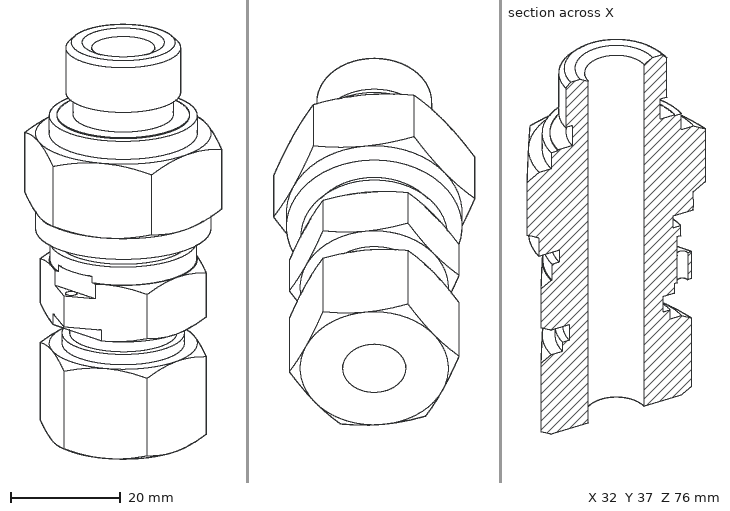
import cadquery as cq
import math

nut_top = 17.5
ring_top = 19.5
lower_neck_top = 22.8
body_hex_top = 33.8
collar_top = 37.3
upper_neck_top = 39.8
flange_top = 43.8
coupling_hex_top = 58.3
shoulder_top = 61.8
seal_top = 62.0
relief_top = 66.3
overall_height = 76.0

small_hex_flats = 27.0
large_hex_flats = 32.0
hex_chamfer_angle = 30.0

ring_diameter = 22.3
lower_neck_diameter = 19.5
collar_diameter = 26.7
upper_neck_diameter = 23.7
flange_diameter = large_hex_flats
shoulder_diameter = small_hex_flats
seal_diameter = 24.2
relief_diameter = 18.3
thread_diameter = 20.955
thread_chamfer = 1.0

bore_diameter = 11.5
countersink_diameter = 15.0
countersink_depth = 1.0

tab_bottom = 24.9
tab_top = 30.9
upper_notch_top = 35.0
upper_notch_y = -12.65
lower_notch_y = -12.06
tab_hole_diameter = 2.1
tab_hole_y = -13.7


def cylinder(diameter, bottom, top):
    """Round section about the Z axis."""
    return cq.Workplane("XY").workplane(offset=bottom).circle(diameter / 2).extrude(top - bottom)


def corner_radius(flats):
    """Distance from the axis to a corner of a hexagon of the given width across flats."""
    return flats / 2 / math.cos(math.radians(30))


def chamfered_hexagon(flats, bottom, top):
    """Hexagonal prism with corners on +Y and -Y, its corners turned off conically at both ends."""
    flat_radius = flats / 2
    outer_radius = corner_radius(flats)
    drop = (outer_radius - flat_radius) * math.tan(math.radians(hex_chamfer_angle))
    prism = (
        cq.Workplane("XY")
        .workplane(offset=bottom)
        .transformed(rotate=(0, 0, 90))
        .polygon(6, 2 * outer_radius)
        .extrude(top - bottom)
    )
    envelope = (
        cq.Workplane("XZ")
        .moveTo(0, bottom)
        .lineTo(flat_radius, bottom)
        .lineTo(outer_radius, bottom + drop)
        .lineTo(outer_radius, top - drop)
        .lineTo(flat_radius, top)
        .lineTo(0, top)
        .close()
        .revolve(360, (0, 0, 0), (0, 1, 0))
    )
    return prism.intersect(envelope)


def corner_notch(face_y, bottom, top):
    """Cutter removing everything in front of a flat face on the -Y side."""
    side = small_hex_flats
    cutter = cq.Workplane("XY").box(side, side, top - bottom, centered=(True, False, False))
    return cutter.translate((0, face_y - side, bottom))


def tabbed_body():
    """Body hexagon and its collar, notched above and below a drilled tab."""
    body = chamfered_hexagon(small_hex_flats, lower_neck_top, body_hex_top)
    body = body.union(cylinder(collar_diameter, body_hex_top, collar_top))
    body = body.cut(corner_notch(upper_notch_y, tab_top, upper_notch_top))
    body = body.cut(corner_notch(lower_notch_y, lower_neck_top, tab_bottom))
    tab_hole = cylinder(tab_hole_diameter, tab_bottom, tab_top).translate((0, tab_hole_y, 0))
    return body.cut(tab_hole)


def threaded_end():
    """Plain cylinder for the thread, chamfered at its top edge."""
    return cylinder(thread_diameter, relief_top, overall_height).faces(">Z").chamfer(thread_chamfer)


def bore():
    """Through bore and its conical countersink."""
    bore_radius = bore_diameter / 2
    return (
        cq.Workplane("XZ")
        .lineTo(bore_radius, 0)
        .lineTo(bore_radius, overall_height - countersink_depth)
        .lineTo(countersink_diameter / 2, overall_height)
        .lineTo(0, overall_height)
        .close()
        .revolve(360, (0, 0, 0), (0, 1, 0))
    )


sections = [
    cylinder(ring_diameter, nut_top, ring_top),
    cylinder(lower_neck_diameter, ring_top, lower_neck_top),
    tabbed_body(),
    cylinder(upper_neck_diameter, collar_top, upper_neck_top),
    cylinder(flange_diameter, upper_neck_top, flange_top),
    chamfered_hexagon(large_hex_flats, flange_top, coupling_hex_top),
    cylinder(shoulder_diameter, coupling_hex_top, shoulder_top),
    cylinder(seal_diameter, shoulder_top, seal_top),
    cylinder(relief_diameter, seal_top, relief_top),
    threaded_end(),
]

fitting = chamfered_hexagon(small_hex_flats, 0, nut_top)
for section in sections:
    fitting = fitting.union(section)

result = fitting.cut(bore())